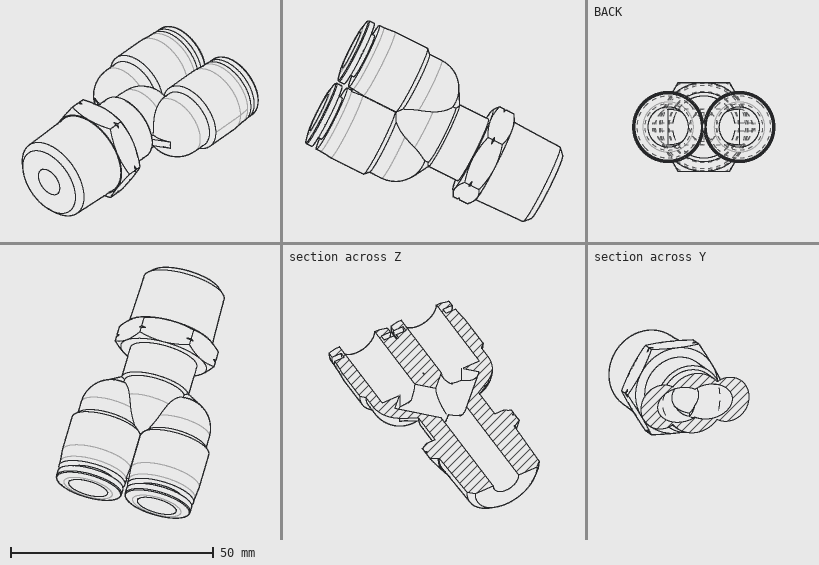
import cadquery as cq
import math


thread_end_radius = 8.8
thread_chamfer_length = 1.45
thread_tip_radius = 10.35
thread_base_radius = 10.75
bore_radius = 3.6

hex_flats = 22.0
hex_bottom = 14.55
hex_top = 20.5
hex_chamfer_angle = 30.0
notch_station = 18.0
notch_root_radius = 12.2
notch_half_width = 0.25

neck_radius = 8.55
neck_top = 28.5
neck_chamfer_length = 0.5
body_radius = 7.7
body_dome_station = 34.1

branch_radius = 8.8
branch_offset = branch_radius
branch_dome_station = 37.45
branch_shoulder_start = 40.85
branch_shoulder_end = 41.95
branch_taper_start = 51.0
branch_taper_end = 54.0
branch_rim = 55.2
branch_rim_radius = 8.5

collar_neck_radius = 5.75
collar_radius = 8.4
collar_bottom = 56.5
collar_edge_start = 57.95
collar_edge_end = 58.25
collar_edge_radius = 8.2
collar_face_radius = 6.2
total_length = 58.7

socket_radius = 5.0
passage_radius = 4.4
passage_angle = 45.0
split_station = branch_dome_station - branch_offset / math.tan(math.radians(passage_angle))
web_thickness = 2.0
web_angle = 30.0


def revolve_about_y(profile):
    """Revolve a closed sketch of (radius, station) about the Y axis."""
    return profile.close().revolve(360, (0, 0, 0), (0, 1, 0))


def cylinder_along_y(radius, start, end):
    """Cylinder centred on the Y axis between two stations."""
    return cq.Workplane("XZ", origin=(0, start, 0)).circle(radius).extrude(start - end)


def make_stem():
    """Thread, neck and domed body as one revolved solid."""
    profile = (
        cq.Workplane("XY")
        .lineTo(thread_end_radius, 0)
        .lineTo(thread_tip_radius, thread_chamfer_length)
        .lineTo(thread_base_radius, hex_bottom)
        .lineTo(neck_radius, hex_top)
        .lineTo(neck_radius, neck_top)
        .lineTo(body_radius, neck_top + neck_chamfer_length)
        .lineTo(body_radius, body_dome_station)
        .radiusArc((0, body_dome_station + body_radius), -body_radius)
    )
    return revolve_about_y(profile)


def make_nut():
    """Hexagon with both ends chamfered and a V-groove nicking its corners."""
    flat_radius = hex_flats / 2
    corner_radius = flat_radius / math.cos(math.pi / 6)
    hexagon = (
        cq.Workplane("XZ", origin=(0, hex_bottom, 0))
        .polygon(6, 2 * corner_radius)
        .extrude(hex_bottom - hex_top)
    )
    chamfer_height = (corner_radius - flat_radius) * math.tan(math.radians(hex_chamfer_angle))
    envelope = (
        cq.Workplane("XY")
        .moveTo(0, hex_bottom)
        .lineTo(flat_radius, hex_bottom)
        .lineTo(corner_radius, hex_bottom + chamfer_height)
        .lineTo(corner_radius, notch_station - notch_half_width)
        .lineTo(notch_root_radius, notch_station)
        .lineTo(corner_radius, notch_station + notch_half_width)
        .lineTo(corner_radius, hex_top - chamfer_height)
        .lineTo(flat_radius, hex_top)
        .lineTo(0, hex_top)
    )
    return hexagon.intersect(revolve_about_y(envelope))


def make_branch():
    """Domed branch body with its release collar, centred on the Y axis."""
    profile = (
        cq.Workplane("XY")
        .moveTo(0, branch_dome_station - body_radius)
        .radiusArc((body_radius, branch_dome_station), -body_radius)
        .lineTo(body_radius, branch_shoulder_start)
        .lineTo(branch_radius, branch_shoulder_end)
        .lineTo(branch_radius, branch_taper_start)
        .lineTo(branch_rim_radius, branch_taper_end)
        .lineTo(branch_rim_radius, branch_rim)
        .lineTo(collar_neck_radius, branch_rim)
        .lineTo(collar_neck_radius, collar_bottom)
        .lineTo(collar_radius, collar_bottom)
        .lineTo(collar_radius, collar_edge_start)
        .lineTo(collar_edge_radius, collar_edge_end)
        .lineTo(collar_face_radius, total_length)
        .lineTo(0, total_length)
    )
    return revolve_about_y(profile)


def make_web():
    """Flat plate that joins the neck and branches, tangent to the branch domes."""
    slope = math.radians(web_angle)
    tangent_x = branch_offset + body_radius * math.sin(slope)
    tangent_y = branch_dome_station - body_radius * math.cos(slope)
    half_outline = [
        (neck_radius, neck_top),
        (tangent_x, tangent_y),
        (branch_offset, branch_dome_station),
        (branch_offset, branch_taper_end),
    ]
    mirrored = [(-x, y) for x, y in reversed(half_outline)]
    outline = cq.Workplane("XY").polyline(half_outline + mirrored).close()
    return outline.extrude(web_thickness / 2, both=True)


def make_passage(side):
    """Inclined passage from the end of the stem bore to a tube socket."""
    rise = branch_dome_station - split_station
    start = cq.Vector(0, split_station, 0)
    direction = cq.Vector(side * branch_offset, rise, 0)
    passage = cq.Solid.makeCylinder(passage_radius, direction.Length, start, direction)
    return cq.Workplane("XY").add(passage)


fitting = make_stem().union(make_nut()).union(make_web())
for side in (-1, 1):
    fitting = fitting.union(make_branch().translate((side * branch_offset, 0, 0)))

fitting = fitting.cut(cylinder_along_y(bore_radius, 0, split_station))
socket = cylinder_along_y(socket_radius, branch_dome_station, total_length)
for side in (-1, 1):
    fitting = fitting.cut(make_passage(side))
    fitting = fitting.cut(socket.translate((side * branch_offset, 0, 0)))

result = fitting